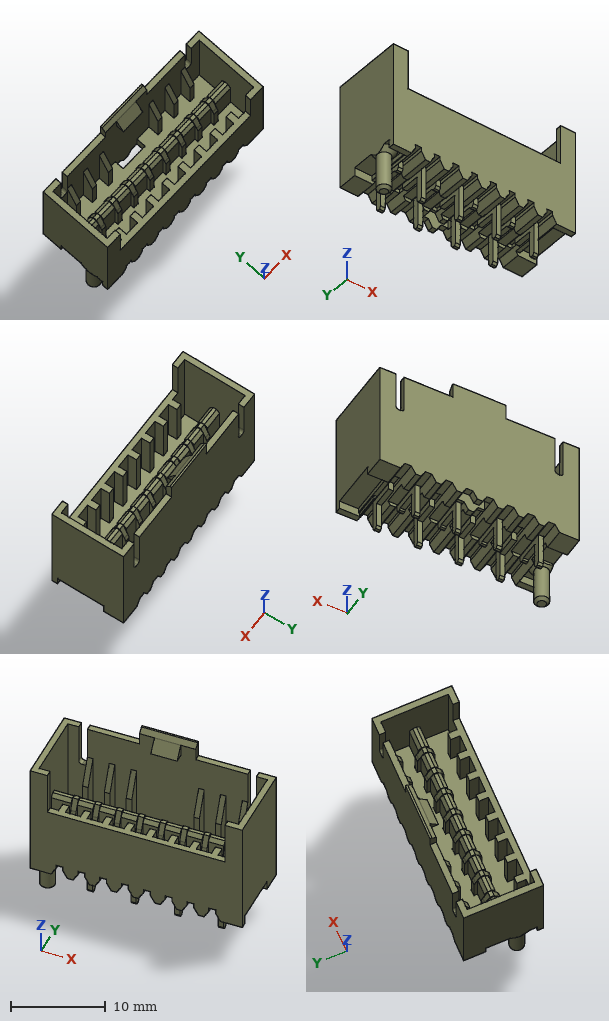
import cadquery as cq


length = 24.3
depth = 9.2
height = 13.65
overall_height = 19.9
wall = 0.73
floor_top = 2.4
end_x = length / 2
back_y = depth / 2
front_y = -back_y
inner_x = end_x - wall
inner_back_y = back_y - wall
inner_front_y = front_y + wall
front_wall_top = 8.53

opening_half = 10.17
relief_width = 0.98
relief_radius = 0.4
panel_half = opening_half - relief_width

latch_width = 6.45
latch_top = 15.62
latch_bevel_y = 0.5
latch_bevel_z = 0.54
tooth_width = 3.02
tooth_reach = 1.0
core_hole_width = 3.4
core_hole_depth = 1.14

pin_count = 8
pitch = 2.5
row_offset = -0.05
pin_xs = [row_offset + (i - (pin_count - 1) / 2) * pitch for i in range(pin_count)]

front_rib_width = 0.77
front_rib_reach = 1.07
back_rib_width = 0.64
back_rib_reach = 1.3
back_rib_top = 9.74
back_rib_drop = 3.0
back_ribs_per_side = 3

rib_width = 1.22
rib_top = 7.3
rib_chamfer = 0.4

pin_width = 0.62
contact_top = 7.38
contact_top_half = 0.23
shoulder_half = 0.82
shoulder_z = 6.1
contact_half = 1.0
contact_leg_top = 5.6
pocket_width = 0.74
pocket_half = 1.05
pocket_depth = 0.5
pin_thickness = 0.76
pin_row_y = 1.89
pin_bottom = -3.27
tip_y = 0.2
tip_z = 0.32
bar_bottom = 0.27
bar_top = 1.36
stub_inner_y = -0.78
stub_bottom = 0.07

recess_back_y = 2.05
recess_front_y = stub_inner_y
recess_top = 0.47
end_cut_top = 1.07
end_cut_length = 2.28
end_step_length = 2.4
slot_width = 0.78
slot_top = 1.4
slot_back_y = 2.4
notch_top = 0.92
notch_half = 0.93

peg_radius = 0.85
peg_x = -end_x + peg_radius
peg_y = -1.87
peg_bottom = latch_top - overall_height
peg_tip_radius = 0.5
peg_tip_length = 0.35
cone_radius = 1.42
cone_bottom = 0.42


def box(x0, x1, y0, y1, z0, z1):
    return cq.Workplane("XY").box(x1 - x0, y1 - y0, z1 - z0, centered=False).translate((x0, y0, z0))


def side_profile(points, x_center, width):
    """Prism of a (y, z) outline, centred on x_center."""
    prism = cq.Workplane("YZ").polyline(points).close().extrude(width / 2, both=True)
    return prism.translate((x_center, 0, 0))


def make_shell():
    shell = box(-end_x, end_x, front_y, back_y, 0, height)
    shell = shell.cut(box(-inner_x, inner_x, inner_front_y, inner_back_y, floor_top, height))
    return shell.cut(box(-opening_half, opening_half, front_y, inner_front_y, front_wall_top, height))


def make_relief(side):
    """Slot with rounded bottom corners that frees the back panel from an end wall."""
    x0, x1 = sorted((side * panel_half, side * opening_half))
    slot = box(x0, x1, inner_back_y, back_y, front_wall_top, height)
    return slot.edges("<Z and |Y").fillet(relief_radius)


def make_latch():
    bevel_bottom = latch_top - latch_bevel_z
    bar = side_profile(
        [
            (back_y, height),
            (back_y, latch_top),
            (inner_back_y + latch_bevel_y, latch_top),
            (inner_back_y, bevel_bottom),
            (inner_back_y, height),
        ],
        0,
        latch_width,
    )
    tooth = side_profile(
        [
            (inner_back_y, height),
            (inner_back_y, bevel_bottom),
            (inner_back_y - tooth_reach, height),
        ],
        0,
        tooth_width,
    )
    return bar.union(tooth)


def make_front_rib(x):
    half = front_rib_width / 2
    return box(x - half, x + half, inner_front_y, inner_front_y + front_rib_reach, floor_top, front_wall_top)


def make_back_rib(x):
    rib_face_y = inner_back_y - back_rib_reach
    outline = [
        (inner_back_y, floor_top),
        (inner_back_y, back_rib_top),
        (rib_face_y, back_rib_top - back_rib_drop),
        (rib_face_y, floor_top),
    ]
    return side_profile(outline, x, back_rib_width)


def make_center_rib():
    half = rib_width / 2
    rib = box(-inner_x, inner_x, -half, half, floor_top, rib_top)
    return rib.edges(">Z and |X").chamfer(rib_chamfer)


def make_end_cut(side):
    """Stepped cut under one end wall: high at the end, lower on a short inner step."""
    cut = cq.Workplane("XY")
    for cut_length, cut_top in ((end_cut_length, end_cut_top), (end_step_length, recess_top)):
        x0, x1 = sorted((side * (end_x - cut_length), side * end_x))
        cut = cut.union(box(x0, x1, inner_front_y, recess_back_y, 0, cut_top))
    return cut


def make_notch(x):
    """Narrow contact slot from the front plus a flared notch through the full depth."""
    half = slot_width / 2
    slot = box(x - half, x + half, front_y, slot_back_y, 0, slot_top)
    flare = (
        cq.Workplane("XZ")
        .polyline([(-notch_half, 0), (-half, notch_top), (half, notch_top), (notch_half, 0)])
        .close()
        .extrude(back_y, both=True)
        .translate((x, 0, 0))
    )
    return slot.union(flare)


def make_cone():
    """Flared root of the peg, trimmed flush with the end wall and the recess."""
    cone = (
        cq.Workplane("XZ")
        .polyline(
            [
                (0, cone_bottom),
                (peg_radius, cone_bottom),
                (cone_radius, end_cut_top),
                (0, end_cut_top),
            ]
        )
        .close()
        .revolve(360, (0, 0, 0), (0, 1, 0))
        .translate((peg_x, peg_y, 0))
    )
    return cone.intersect(box(-end_x, 0, front_y, recess_front_y, 0, end_cut_top))


def make_peg():
    profile = [
        (0, peg_bottom),
        (peg_tip_radius, peg_bottom),
        (peg_radius, peg_bottom + peg_tip_length),
        (peg_radius, end_cut_top),
        (0, end_cut_top),
    ]
    peg = cq.Workplane("XZ").polyline(profile).close().revolve(360, (0, 0, 0), (0, 1, 0))
    return peg.translate((peg_x, peg_y, 0))


def make_pin(x, y, bottom):
    """Vertical pin with a bevelled tip."""
    half = pin_thickness / 2
    outline = [
        (y - half, bar_top),
        (y - half, bottom + tip_z),
        (y - half + tip_y, bottom),
        (y + half - tip_y, bottom),
        (y + half, bottom + tip_z),
        (y + half, bar_top),
    ]
    return side_profile(outline, x, pin_width)


def make_contact_pocket(x):
    """Clearance around one contact, sunk into the floor and cutting across the centre rib."""
    half = pocket_width / 2
    return box(x - half, x + half, -pocket_half, pocket_half, floor_top - pocket_depth, rib_top)


def make_contact_head(x):
    """Tapered contact standing in its pocket."""
    front_half = [
        (-contact_half, bar_top),
        (-contact_half, contact_leg_top),
        (-shoulder_half, shoulder_z),
        (-contact_top_half, contact_top),
    ]
    rear_half = [(-y, z) for y, z in reversed(front_half)]
    return side_profile(front_half + rear_half, x, pin_width)


def make_contact(index):
    """Contact with its solder pin; the pins alternate between the back row and the front row."""
    x = pin_xs[index]
    half_width = pin_width / 2
    half_thickness = pin_thickness / 2
    contact = make_contact_head(x)
    if index % 2 == 0:
        stub_y = stub_inner_y - half_thickness
        contact = contact.union(make_pin(x, pin_row_y, pin_bottom)).union(make_pin(x, stub_y, stub_bottom))
        bar_front, bar_back = stub_y, pin_row_y
    else:
        contact = contact.union(make_pin(x, -pin_row_y, pin_bottom))
        bar_front, bar_back = -pin_row_y, contact_half
    return contact.union(box(x - half_width, x + half_width, bar_front, bar_back, bar_bottom, bar_top))


body = make_shell()
for side in (-1, 1):
    body = body.cut(make_relief(side))
    for step in range(back_ribs_per_side):
        body = body.union(make_back_rib(side * (panel_half - back_rib_width / 2 - step * pitch)))
for pin_x in pin_xs:
    body = body.union(make_front_rib(pin_x))
body = body.union(make_latch()).union(make_center_rib())
for pin_x in pin_xs:
    body = body.cut(make_contact_pocket(pin_x))

for side in (-1, 1):
    body = body.cut(make_end_cut(side))
body = body.cut(box(-end_x, end_x, recess_front_y, recess_back_y, 0, recess_top))
for pin_x in pin_xs:
    body = body.cut(make_notch(pin_x))
core_half = core_hole_width / 2
body = body.cut(box(-core_half, core_half, inner_back_y - core_hole_depth, inner_back_y, 0, floor_top))

body = body.union(make_cone()).union(make_peg())
for pin_index in range(pin_count):
    body = body.union(make_contact(pin_index))

result = body